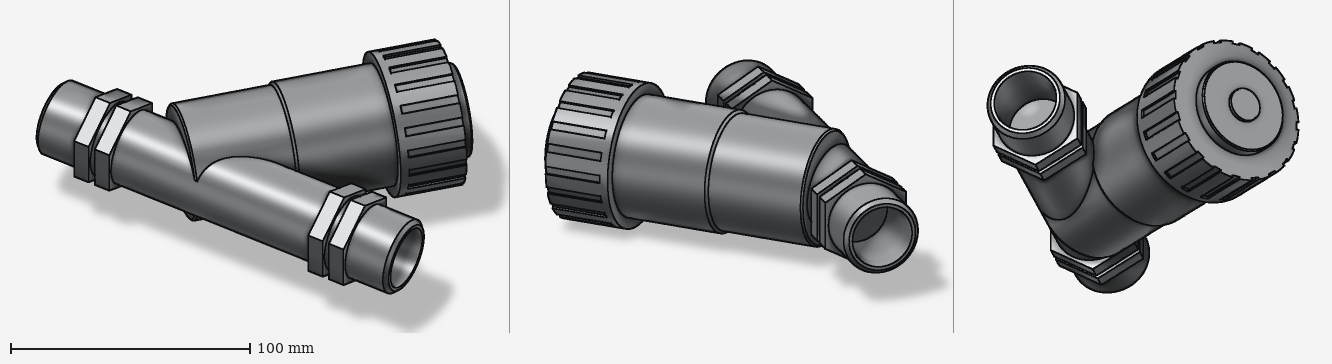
import cadquery as cq
import math

PIPE_LENGTH = 170.0
PIPE_DIAMETER = 33.25
PIPE_END_CHAMFER = 1.8
BORE_DIAMETER = 26.6
BORE_DEPTH = 30.0

HEX_ACROSS_FLATS = 36.0
HEX_CORNER_DIAMETER = HEX_ACROSS_FLATS / math.cos(math.pi / 6)
HEX_WIDTH = 7.0
HEX_END_DISTANCES = (20.0, 30.0)

BRANCH_ANGLE = 45.0
BRANCH_CROSSING_X = -27.65

BARREL_START = 3.5
BARREL_STEP = 46.7
CAP_START = 90.35
CAP_GROOVE_START = 94.05
CAP_END = 118.95
PLUG_END = 124.5
BUTTON_END = 126.15

LOWER_BARREL_DIAMETER = 50.1
UPPER_BARREL_DIAMETER = 52.47
CAP_DIAMETER = 62.01
PLUG_DIAMETER = 40.07
BUTTON_DIAMETER = 14.31
BARREL_END_CHAMFER = 0.8
BARREL_STEP_CHAMFER = (UPPER_BARREL_DIAMETER - LOWER_BARREL_DIAMETER) / 2
PLUG_CHAMFER = 0.6

GROOVE_COUNT = 20
GROOVE_WIDTH = 3.5
GROOVE_DEPTH = 1.0


def cylinder_between(start, end, diameter):
    """Cylinder on the local Z axis from one station to another."""
    return cq.Workplane("XY").workplane(offset=start).circle(diameter / 2).extrude(end - start)


def make_pipe():
    return (
        cq.Workplane("YZ")
        .circle(PIPE_DIAMETER / 2)
        .extrude(PIPE_LENGTH / 2, both=True)
        .faces("<X or >X")
        .chamfer(PIPE_END_CHAMFER)
    )


def make_hex_collar(start_x):
    """Hexagon with two flats facing +Y and -Y and corners on +Z and -Z."""
    return (
        cq.Workplane("YZ", origin=(start_x, 0, 0))
        .transformed(rotate=(0, 0, 90))
        .polygon(6, HEX_CORNER_DIAMETER)
        .extrude(HEX_WIDTH)
    )


def make_cap():
    cap = cylinder_between(CAP_START, CAP_END, CAP_DIAMETER)
    floor_radius = CAP_DIAMETER / 2 - GROOVE_DEPTH
    groove = cq.Workplane("XY").box(
        2 * GROOVE_DEPTH, GROOVE_WIDTH, CAP_END - CAP_GROOVE_START, centered=(False, True, False)
    ).translate((floor_radius, 0, CAP_GROOVE_START))
    for index in range(GROOVE_COUNT):
        cap = cap.cut(groove.rotate((0, 0, 0), (0, 0, 1), index * 360 / GROOVE_COUNT))
    return cap


def make_branch():
    """Branch built upright along Z, then laid along its inclined axis."""
    lower_barrel = cylinder_between(BARREL_START, BARREL_STEP, LOWER_BARREL_DIAMETER)
    upper_barrel = cylinder_between(BARREL_STEP, CAP_START, UPPER_BARREL_DIAMETER)
    plug = cylinder_between(CAP_END, PLUG_END, PLUG_DIAMETER)
    button = cylinder_between(PLUG_END, BUTTON_END, BUTTON_DIAMETER)
    branch = (
        lower_barrel.faces("<Z").chamfer(BARREL_END_CHAMFER)
        .union(upper_barrel.faces("<Z").chamfer(BARREL_STEP_CHAMFER))
        .union(make_cap())
        .union(plug.faces(">Z").chamfer(PLUG_CHAMFER))
        .union(button)
    )
    return (
        branch.rotate((0, 0, 0), (0, 1, 0), 90)
        .rotate((0, 0, 0), (0, 0, 1), BRANCH_ANGLE)
        .translate((BRANCH_CROSSING_X, 0, 0))
    )


def make_end_bore(start_x):
    return cq.Workplane("YZ", origin=(start_x, 0, 0)).circle(BORE_DIAMETER / 2).extrude(BORE_DEPTH)


result = make_pipe().union(make_branch())
for end_distance in HEX_END_DISTANCES:
    left_start = -PIPE_LENGTH / 2 + end_distance
    result = result.union(make_hex_collar(left_start))
    result = result.union(make_hex_collar(-left_start - HEX_WIDTH))
result = result.cut(make_end_bore(-PIPE_LENGTH / 2))
result = result.cut(make_end_bore(PIPE_LENGTH / 2 - BORE_DEPTH))